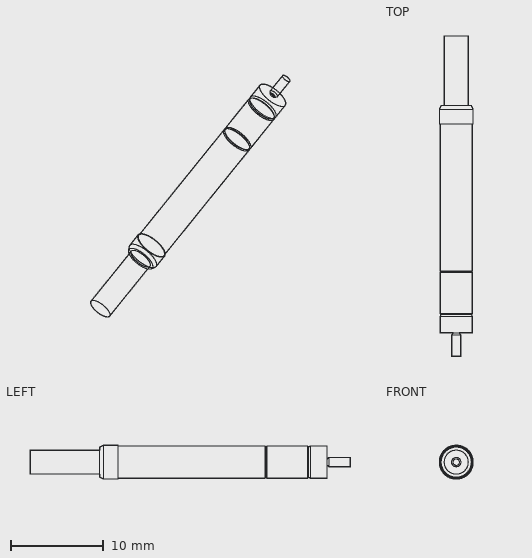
import cadquery as cq

TOTAL_LENGTH = 34.5
TAIL_LENGTH = 7.5
COLLAR_LENGTH = 2.0
COLLAR_TAPER_LENGTH = 0.4
PIN_LENGTH = 2.52
PIN_TAPER_LENGTH = 0.2

TAIL_DIAMETER = 2.6
COLLAR_DIAMETER = 3.65
COLLAR_END_DIAMETER = 3.25
BODY_DIAMETER = 3.5
PIN_DIAMETER = 1.0
PIN_ROOT_DIAMETER = 0.7

GROOVE_DEPTH = 0.1
NARROW_GROOVE_WIDTH = 0.2
NARROW_GROOVE_SETBACK = 6.5
WIDE_GROOVE_WIDTH = 0.3
WIDE_GROOVE_SETBACK = 1.8
GROOVE_BACK_SLOPE = 0.1

PIN_TIP = -TOTAL_LENGTH / 2
BODY_FRONT = PIN_TIP + PIN_LENGTH
TAIL_END = TOTAL_LENGTH / 2
COLLAR_BACK = TAIL_END - TAIL_LENGTH
COLLAR_FRONT = COLLAR_BACK - COLLAR_LENGTH


def revolve_about_y(half_profile):
    """Turn a closed outline of (radius, y) points around the Y axis."""
    return cq.Workplane("XY").polyline(half_profile).close().revolve(360, (0, 0, 0), (0, 1, 0))


def cylinder(diameter, y_start, y_end):
    """Round bar on the Y axis."""
    return cone(diameter, diameter, y_start, y_end)


def cone(start_diameter, end_diameter, y_start, y_end):
    """Tapered round bar on the Y axis."""
    return revolve_about_y([
        (0, y_start),
        (start_diameter / 2, y_start),
        (end_diameter / 2, y_end),
        (0, y_end),
    ])


def make_pin():
    """Contact pin that narrows where it meets the body."""
    taper_start = BODY_FRONT - PIN_TAPER_LENGTH
    shank = cylinder(PIN_DIAMETER, PIN_TIP, taper_start)
    root = cone(PIN_DIAMETER, PIN_ROOT_DIAMETER, taper_start, BODY_FRONT)
    return shank.union(root)


def make_groove(setback, width):
    """V-shaped ring to cut from the body."""
    front_edge = BODY_FRONT + setback
    back_edge = front_edge + width
    body_radius = BODY_DIAMETER / 2
    outer_radius = COLLAR_DIAMETER / 2
    return revolve_about_y([
        (outer_radius, front_edge),
        (body_radius, front_edge),
        (body_radius - GROOVE_DEPTH, back_edge - GROOVE_BACK_SLOPE),
        (body_radius, back_edge),
        (outer_radius, back_edge),
    ])


def make_body():
    """Main barrel with its two grooves."""
    body = cylinder(BODY_DIAMETER, BODY_FRONT, COLLAR_FRONT)
    narrow_groove = make_groove(NARROW_GROOVE_SETBACK, NARROW_GROOVE_WIDTH)
    wide_groove = make_groove(WIDE_GROOVE_SETBACK, WIDE_GROOVE_WIDTH)
    return body.cut(narrow_groove).cut(wide_groove)


def make_collar():
    """Collar that tapers down towards the tail."""
    taper_start = COLLAR_BACK - COLLAR_TAPER_LENGTH
    band = cylinder(COLLAR_DIAMETER, COLLAR_FRONT, taper_start)
    taper = cone(COLLAR_DIAMETER, COLLAR_END_DIAMETER, taper_start, COLLAR_BACK)
    return band.union(taper)


tail = cylinder(TAIL_DIAMETER, COLLAR_BACK, TAIL_END)
result = make_pin().union(make_body()).union(make_collar()).union(tail)